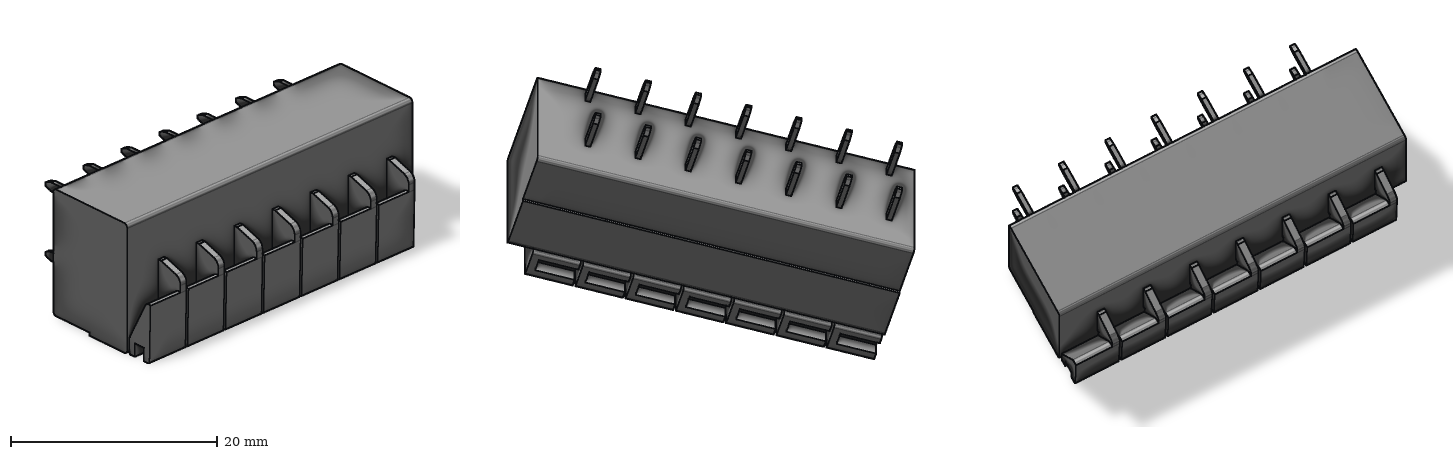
import cadquery as cq

length = 38.1
housing_depth = 10.4
height = 14.2
pad_drop = 0.35
pad_start_x = 5.05
edge_radius = 0.42

pole_count = 7
pole_span = 30.48
pitch = pole_span / (pole_count - 1)
end_to_first_pole = 5.03
first_pole_y = length / 2 - end_to_first_pole
pole_positions = [first_pole_y - index * pitch for index in range(pole_count)]

pin_length = 3.6
pin_height = 1.0
pin_thickness = 0.55
pin_row_pitch = 7.62
top_to_upper_row = 1.75
upper_row_z = height - top_to_upper_row
pin_rows = [upper_row_z, upper_row_z - pin_row_pitch]
tip_height = 0.35
shoulder_height = 0.6
shoulder_length = 0.25
taper_length = 0.85

lever_reach = 3.12
lever_foot_reach = 2.97
lever_length = 4.8
plate_thickness = 0.8
lever_offset = 2.35
plate_top = 8.88
plate_flat = 0.4
plate_nose_z = 7.95
nose_radius = 1.0
hinge_bottom = 3.05
slit_bottom = 1.95
slit_width = 0.25
foot_gap = 0.15
wedge_base = 1.83
slope_end_reach = 2.4
slope_end_z = 6.2
wedge_front_z = 6.45
foot_radius = 0.23
notch_start = 0.9
notch_width = 1.25
notch_height = 1.5


def prism(profile, y_high, depth):
    """Extrude closed X-Z points from y_high toward -Y."""
    return cq.Workplane("XZ", origin=(0, y_high, 0)).polyline(profile).close().extrude(depth)


def edge_at(x, z):
    """Selector for the Y-parallel edge passing through (x, z)."""
    margin = 0.05
    return cq.selectors.BoxSelector(
        (x - margin, -length, z - margin),
        (x + margin, length, z + margin),
    )


def make_housing():
    """Block with a stepped underside and rounded long edges."""
    profile = [
        (0, pad_drop),
        (pad_start_x, pad_drop),
        (pad_start_x, 0),
        (housing_depth, 0),
        (housing_depth, height),
        (0, height),
    ]
    housing = prism(profile, length / 2, length)
    for x, z in [(0, pad_drop), (0, height), (housing_depth, 0), (housing_depth, height)]:
        housing = housing.edges(edge_at(x, z)).fillet(edge_radius)
    return housing


def make_pin(y, z):
    """Flat pin with a two-step tapered tip, pointing toward -X."""
    upper_half = [
        (0, pin_height / 2),
        (taper_length - pin_length, pin_height / 2),
        (shoulder_length - pin_length, shoulder_height / 2),
        (-pin_length, tip_height / 2),
    ]
    lower_half = [(x, -half_height) for x, half_height in reversed(upper_half)]
    profile = [(x, z + dz) for x, dz in upper_half + lower_half]
    return prism(profile, y + pin_thickness / 2, pin_thickness)


def make_plate(y_high):
    """Full-height lever side, joined to the housing above the slit."""
    profile = [
        (housing_depth, plate_top),
        (housing_depth + plate_flat, plate_top),
        (housing_depth + lever_reach, plate_nose_z),
        (housing_depth + lever_reach, wedge_front_z),
        (housing_depth + lever_foot_reach, 0),
        (housing_depth + foot_gap, 0),
        (housing_depth + foot_gap, slit_bottom),
        (housing_depth + slit_width, slit_bottom),
        (housing_depth + slit_width, hinge_bottom),
        (housing_depth, hinge_bottom),
    ]
    plate = prism(profile, y_high, plate_thickness)
    return plate.edges(edge_at(housing_depth + lever_reach, plate_nose_z)).fillet(nose_radius)


def make_wedge(y_high):
    """Lower lever body with a sloped back, a rounded crest and a notch in its foot."""
    depth = lever_length - plate_thickness
    wedge = (
        cq.Workplane("XZ", origin=(0, y_high, 0))
        .moveTo(housing_depth + foot_gap, 0)
        .lineTo(housing_depth + foot_gap, wedge_base)
        .lineTo(housing_depth + slope_end_reach, slope_end_z)
        .tangentArcPoint((housing_depth + lever_reach, wedge_front_z), relative=False)
        .lineTo(housing_depth + lever_foot_reach, 0)
        .close()
        .extrude(depth)
    )
    notch_x = housing_depth + notch_start
    notch = [
        (notch_x, 0),
        (notch_x, notch_height),
        (notch_x + notch_width, notch_height),
        (notch_x + notch_width, 0),
    ]
    return wedge.cut(prism(notch, y_high, depth))


def make_lever(pole_y):
    """Plate and wedge joined, with rounded edges under the foot."""
    plate_y = pole_y + lever_offset
    lever = make_plate(plate_y).union(make_wedge(plate_y - plate_thickness))
    for reach in (foot_gap, lever_foot_reach):
        lever = lever.edges(edge_at(housing_depth + reach, 0)).fillet(foot_radius)
    return lever


result = make_housing()
for pole_y in pole_positions:
    for row_z in pin_rows:
        result = result.union(make_pin(pole_y, row_z))
    result = result.union(make_lever(pole_y))